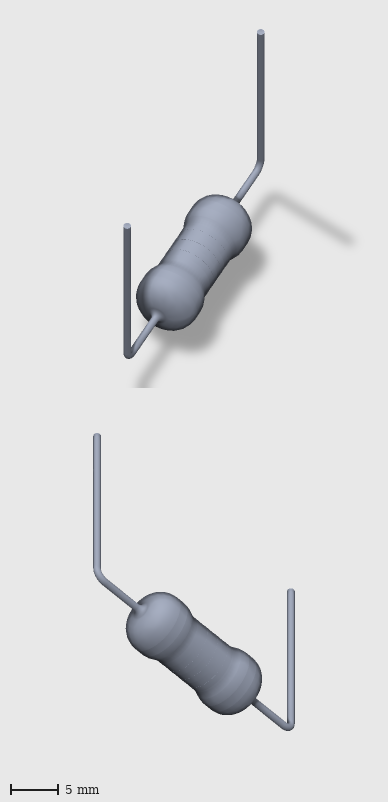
import cadquery as cq
import math

total_length = 30.8
total_height = 25.6
body_diameter = 7.0
wire_diameter = 0.8

bend_radius = 1.2

body_length = 16.5
flare_radius = 0.7
shoulder_inner = 4.77

waist_diameter = 5.95
band_diameter = 5.98
band_count = 4
band_width = 0.75
band_pitch = 1.57

body_radius = body_diameter / 2
band_radius = band_diameter / 2
wire_radius = wire_diameter / 2
lead_y = total_length / 2 - wire_radius
lead_top = total_height - body_radius
body_end = body_length / 2
flare_end = body_end + flare_radius
flare_outer = wire_radius + flare_radius
dome_radius = body_radius - flare_outer
shoulder_outer = body_end - dome_radius
bands_end = ((band_count - 1) * band_pitch + band_width) / 2

DIAGONAL = math.sqrt(0.5)


def make_end():
    """Revolve the +Y end of the body: S-curved neck, land, dome and flare."""
    neck_y = (shoulder_inner + bands_end) / 2
    neck_radius = (body_radius + band_radius) / 2
    dome_mid = (
        flare_outer + dome_radius * DIAGONAL,
        shoulder_outer + dome_radius * DIAGONAL,
    )
    flare_mid = (
        flare_outer - flare_radius * DIAGONAL,
        flare_end - flare_radius * DIAGONAL,
    )
    return (
        cq.Workplane("XY")
        .moveTo(0, bands_end)
        .lineTo(band_radius, bands_end)
        .threePointArc(neck_arc_middle(band_radius, bands_end, 1), (neck_radius, neck_y))
        .threePointArc(neck_arc_middle(body_radius, shoulder_inner, -1), (body_radius, shoulder_inner))
        .lineTo(body_radius, shoulder_outer)
        .threePointArc(dome_mid, (flare_outer, body_end))
        .threePointArc(flare_mid, (wire_radius, flare_end))
        .lineTo(0, flare_end)
        .close()
        .revolve(360, (0, 0, 0), (0, 1, 0))
    )


def neck_arc_middle(radius, y, direction):
    """Middle of a neck arc leaving (radius, y) parallel to the axis.

    direction is +1 for the concave arc at the waist, -1 for the convex arc at the land.
    """
    run = (shoulder_inner - bands_end) / 2
    rise = (body_radius - band_radius) / 2
    arc_radius = (run**2 + rise**2) / (2 * rise)
    half_angle = math.asin(run / arc_radius) / 2
    return (
        radius + direction * arc_radius * (1 - math.cos(half_angle)),
        y + direction * arc_radius * math.sin(half_angle),
    )


def make_cylinder(radius, length, y):
    """Cylinder along the body axis, centred at y."""
    return cq.Workplane("XZ", origin=(0, y + length / 2, 0)).circle(radius).extrude(length)


def make_lead():
    """Lead on the +Y side: straight out of the body, then bent upwards."""
    bend_start = lead_y - bend_radius
    bend_mid = (
        bend_start + bend_radius * DIAGONAL,
        bend_radius - bend_radius * DIAGONAL,
    )
    path = (
        cq.Workplane("YZ")
        .lineTo(bend_start, 0)
        .threePointArc(bend_mid, (lead_y, bend_radius))
        .lineTo(lead_y, lead_top)
    )
    return cq.Workplane("XZ").circle(wire_radius).sweep(path)


result = make_cylinder(waist_diameter / 2, 2 * bands_end, 0)
for index in range(band_count):
    band_y = (index - (band_count - 1) / 2) * band_pitch
    result = result.union(make_cylinder(band_radius, band_width, band_y))
for feature in (make_end(), make_lead()):
    result = result.union(feature).union(feature.mirror("XZ"))